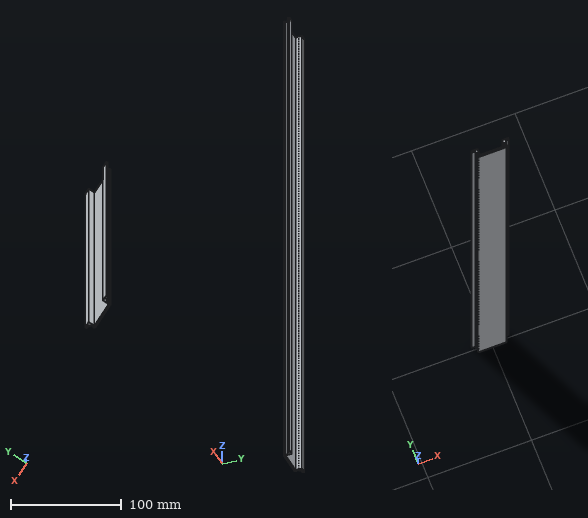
import cadquery as cq

LENGTH = 486.0
WIDTH = 35.5
DEPTH = 8.0
PLATE_WIDTH = 27.5
PLATE_THICKNESS = 1.6
ROUND_RADIUS = 1.5
WEB_INNER_SPAN = 24.0
WEB_THICKNESS = 1.2
BEAD_WIDTH = 2.65
BEAD_DEPTH = 3.5
FLANGE_TIP_THICKNESS = 1.5
FLANGE_ROOT_THICKNESS = 2.0


def make_half_section():
    """Outline of the +X half of the section, starting at the centre of the front face."""
    plate_edge = PLATE_WIDTH / 2
    inner = WEB_INNER_SPAN / 2
    web_outer = inner + WEB_THICKNESS
    bead_outer = inner + BEAD_WIDTH
    return (
        cq.Workplane("XY")
        .moveTo(0, 0)
        .lineTo(plate_edge - ROUND_RADIUS, 0)
        .radiusArc((plate_edge, ROUND_RADIUS), -ROUND_RADIUS)
        .lineTo(plate_edge, PLATE_THICKNESS)
        .lineTo(web_outer, PLATE_THICKNESS)
        .lineTo(web_outer, DEPTH - BEAD_DEPTH)
        .lineTo(bead_outer, DEPTH - BEAD_DEPTH)
        .lineTo(bead_outer, DEPTH - FLANGE_ROOT_THICKNESS)
        .lineTo(WIDTH / 2, DEPTH - FLANGE_TIP_THICKNESS)
        .lineTo(WIDTH / 2, DEPTH)
        .lineTo(inner, DEPTH)
        .lineTo(inner, PLATE_THICKNESS)
        .lineTo(0, PLATE_THICKNESS)
        .close()
    )


half_strip = make_half_section().extrude(LENGTH)
strip = half_strip.union(half_strip.mirror("YZ")).clean()
result = strip.translate((0, -DEPTH / 2, -LENGTH / 2))